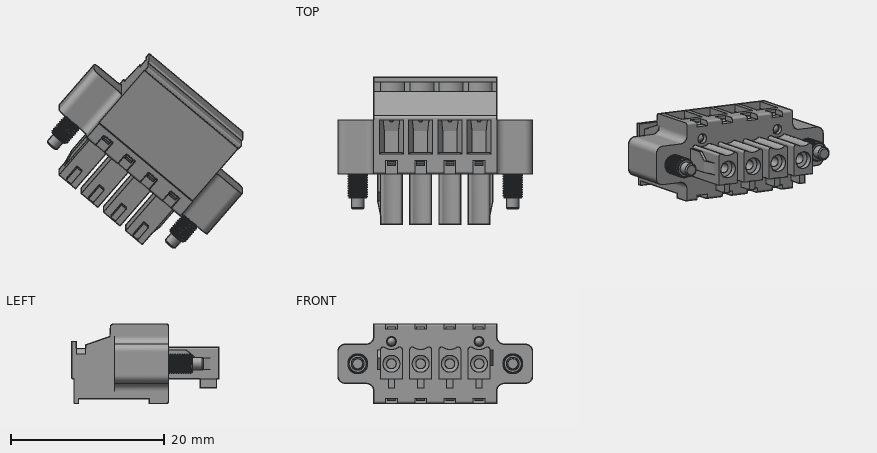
import cadquery as cq
total_width = 25.43
total_height = 10.4
pole_count = 4
pole_pitch = 3.81
axis_z = total_height / 2
pole_x = [(i - (pole_count - 1) / 2) * pole_pitch for i in range(pole_count)]

body_width = 16.07
back_y = 12.65
foot_back_y = 12.35
foot_front_y = 11.75
front_foot_depth = 2.55
foot_height = 0.6
lip_bottom_z = 3.23
lip_top_z = 8.15
groove_back_y = 12.03
groove_front_y = 10.8
groove_floor_z = 6.45
slope_low_z = 7.68
slope_high_z = 8.77
step_top_y = 7.58
step_base_y = 7.65
edge_round = 0.3
rear_edge_round = 0.38
small_round = 0.18

ear_depth = 7.07
ear_height = 5.14
ear_round = 1.0

rear_cylinder_radius = 2.0
rear_cylinder_offset = 0.15

pocket_width = 3.13
pocket_mid_width = 2.15
pocket_floor_width = 1.83
pocket_back_y = 7.05
pocket_front_y = 2.62
pocket_lip_y = 2.75
pocket_lip_depth = 0.5
pocket_floor_front_y = 2.82
pocket_straight_depth = 0.95
pocket_mid_depth = 1.65
pocket_depth = 2.0
ramp_front_y = 5.6
nub_radius = 0.25

notch_width = 1.53
notch_depth = 0.64
notch_back_y = 1.75
catch_width = 1.05
catch_height = 0.25
catch_front_y = 1.12
catch_crest_y = 1.42
catch_back_y = 1.65

test_hole_z = 8.1
test_hole_radius = 0.64
test_hole_depth = 0.7
ball_radius = 0.55

sleeve_width = 2.85
sleeve_length = 6.55
sleeve_bottom_z = 3.23
sleeve_top_z = 7.37
sleeve_shoulder_z = 7.07
valley_half_width = 0.85
valley_edge_z = 7.3
crest_offset = 1.15
bore_diameter = 2.2
bore_radius = bore_diameter / 2
bore_depth = 0.92
bore_cone_depth = 0.15
inner_bore_radius = 0.64
inner_bore_depth = 3.05

key_width = 0.81
key_bottom_z = 2.05
key_front_y = -6.28
key_back_y = -4.12

rib_thickness = 0.38
rib_top_z = 7.0
rib_taper_y = -3.5
rib_end_y = -5.42
left_rib_slope_y = -2.31
left_rib_low_z = 5.98
left_rib_bottom_z = 4.42
right_rib_bottom_z = 4.98

screw_x = 10.12
thread_radius = 1.3
thread_core_radius = 1.12
tooth_share = 0.9
thread_overlap = 0.03
thread_length = 3.13
thread_turns = 10
thread_pitch = thread_length / thread_turns
thread_end_chamfer = 0.2
tip_radius = 0.85
tip_end_y = -4.55
tip_chamfer = 0.18


def box(x0, x1, y0, y1, z0, z1):
    """Axis-aligned box between opposite corners."""
    return cq.Workplane("XY").box(x1 - x0, y1 - y0, z1 - z0, centered=False).translate((x0, y0, z0))


def side_prism(points, x0, x1):
    """Extrude a (y, z) outline from x0 to x1."""
    return cq.Workplane("YZ").workplane(offset=x0).polyline(points).close().extrude(x1 - x0)


def rod(x, z, radius, y0, y1):
    """Cylinder along Y between y0 and y1."""
    return cq.Workplane("XZ", origin=(x, y0, z)).circle(radius).extrude(y0 - y1)


def make_housing():
    outline = [
        (0, 0), (0, total_height), (step_top_y, total_height), (step_base_y, slope_high_z),
        (groove_front_y, slope_low_z), (groove_front_y, groove_floor_z),
        (groove_back_y, groove_floor_z), (groove_back_y, lip_top_z), (back_y, lip_top_z),
        (back_y, lip_bottom_z), (foot_back_y, lip_bottom_z), (foot_back_y, 0),
        (foot_front_y, 0), (foot_front_y, foot_height),
        (front_foot_depth, foot_height), (front_foot_depth, 0),
    ]
    housing = side_prism(outline, -body_width / 2, body_width / 2)
    rounded_corners = [
        (0, 0, edge_round), (0, total_height, edge_round), (step_top_y, total_height, rear_edge_round),
        (back_y, lip_bottom_z, small_round), (foot_back_y, 0, small_round),
    ]
    for y, z, radius in rounded_corners:
        corner = cq.NearestToPointSelector((0, y, z))
        housing = housing.edges("|X").edges(corner).fillet(radius)
    return housing


def make_ears():
    z0 = axis_z - ear_height / 2
    z1 = axis_z + ear_height / 2
    ears = box(-total_width / 2, total_width / 2, 0, ear_depth, z0, z1)
    ears = ears.edges("|Y").fillet(ear_round)
    root = body_width / 2
    for side in (-1, 1):
        for z, direction in ((z0, -1), (z1, 1)):
            x_in, x_out = sorted((side * root, side * (root + ear_round)))
            z_low, z_high = sorted((z, z + direction * ear_round))
            blend = box(x_in, x_out, 0, ear_depth, z_low, z_high)
            arc_x = side * (root + ear_round)
            arc_z = z + direction * ear_round
            blend = blend.cut(rod(arc_x, arc_z, ear_round, 0, ear_depth))
            ears = ears.union(blend)
    return ears


def make_pocket():
    """Wire pocket for the pole at x = 0: a stepped funnel with a ramp at its back."""
    top = total_height
    straight_z = top - pocket_straight_depth
    mid_z = top - pocket_mid_depth
    floor_z = top - pocket_depth
    half = [(pocket_width / 2, top), (pocket_width / 2, straight_z),
            (pocket_mid_width / 2, mid_z), (pocket_floor_width / 2, floor_z)]
    mirrored = [(-x, z) for x, z in reversed(half)]
    funnel = (cq.Workplane("XZ", origin=(0, pocket_back_y, 0)).polyline(half + mirrored).close()
              .extrude(pocket_back_y - pocket_front_y))
    lengthwise = [(pocket_front_y, top), (pocket_lip_y, top - pocket_lip_depth),
                  (pocket_floor_front_y, floor_z), (ramp_front_y, floor_z),
                  (pocket_back_y, mid_z), (pocket_back_y, top)]
    pocket = funnel.intersect(side_prism(lengthwise, -pocket_width / 2, pocket_width / 2))
    nub = cq.Workplane("XY").sphere(nub_radius).translate((0, pocket_back_y, mid_z))
    return pocket.cut(nub)


def make_notch():
    """Latch notch in the top front edge, less the ramped catch on its floor."""
    floor_z = total_height - notch_depth
    notch = box(-notch_width / 2, notch_width / 2, 0, notch_back_y, floor_z, total_height)
    catch = [(catch_front_y, floor_z), (catch_crest_y, floor_z + catch_height),
             (catch_back_y, floor_z + catch_height), (catch_back_y, floor_z)]
    return notch.cut(side_prism(catch, -catch_width / 2, catch_width / 2))


def make_sleeve():
    """Contact sleeve for the pole at x = 0, with its key and stepped bore."""
    half = sleeve_width / 2
    sleeve = (
        cq.Workplane("XZ")
        .moveTo(-half, sleeve_bottom_z)
        .lineTo(-half, sleeve_shoulder_z)
        .threePointArc((-crest_offset, sleeve_top_z), (-valley_half_width, valley_edge_z))
        .threePointArc((0, sleeve_shoulder_z), (valley_half_width, valley_edge_z))
        .threePointArc((crest_offset, sleeve_top_z), (half, sleeve_shoulder_z))
        .lineTo(half, sleeve_bottom_z)
        .close()
        .extrude(sleeve_length)
    )
    key = box(-key_width / 2, key_width / 2, key_front_y, key_back_y, key_bottom_z, sleeve_bottom_z)
    bore_outline = [
        (0, 0), (bore_radius, 0), (bore_radius, bore_depth),
        (inner_bore_radius, bore_depth + bore_cone_depth), (inner_bore_radius, inner_bore_depth),
        (0, inner_bore_depth),
    ]
    bore = cq.Workplane("XY").polyline(bore_outline).close().revolve(360, (0, 0, 0), (0, 1, 0))
    return sleeve.union(key).cut(bore.translate((0, -sleeve_length, axis_z)))


def make_ribs():
    """Guide ribs on the outer flanks of the two end sleeves, tapering out toward the tip."""
    flank = pole_x[-1] + sleeve_width / 2
    taper = (cq.Workplane("XY")
             .polyline([(flank, 0), (flank + rib_thickness, 0), (flank + rib_thickness, rib_taper_y),
                        (flank, rib_end_y)])
             .close().extrude(total_height))
    left_outline = [(0, rib_top_z), (left_rib_slope_y, rib_top_z), (rib_taper_y, left_rib_low_z),
                    (rib_end_y, left_rib_low_z), (rib_end_y, left_rib_bottom_z), (0, left_rib_bottom_z)]
    outer = flank + rib_thickness
    left = side_prism(left_outline, -outer, -flank).intersect(taper.mirror("YZ"))
    right = taper.intersect(box(flank, outer, rib_end_y, 0, right_rib_bottom_z, rib_top_z))
    return left.union(right)


def make_screw():
    """Flange screw along Z from 0, with a helical thread and a plain chamfered tip."""
    envelope_radius = thread_radius + thread_overlap
    envelope = (cq.Workplane("XY").circle(envelope_radius).extrude(thread_length)
                .faces(">Z").chamfer(thread_end_chamfer, envelope_radius - tip_radius))
    core = cq.Workplane("XY").circle(thread_core_radius).extrude(thread_length)
    tip = cq.Workplane("XY").circle(tip_radius).extrude(-tip_end_y).faces(">Z").chamfer(tip_chamfer)
    root = thread_core_radius - thread_overlap
    half_tooth = thread_pitch * tooth_share / 2
    helix = cq.Wire.makeHelix(thread_pitch, thread_length + thread_pitch, root)
    tooth = (cq.Workplane("XZ")
             .polyline([(root, -half_tooth), (thread_radius, 0), (root, half_tooth)])
             .close()
             .sweep(cq.Workplane(obj=helix), isFrenet=True))
    tooth = tooth.translate((0, 0, -thread_pitch / 2))
    return core.union(tooth.intersect(envelope)).union(tip)


result = make_housing().union(make_ears())

pocket = make_pocket()
notch = make_notch()
sleeve = make_sleeve()
for x in pole_x:
    rear_x = x + rear_cylinder_offset
    result = result.union(rod(rear_x, axis_z, rear_cylinder_radius, groove_front_y, groove_back_y))
    result = result.cut(pocket.translate((x, 0, 0)))
    result = result.cut(notch.translate((x, 0, 0)))
    result = result.cut(notch.mirror("XY").translate((x, 0, total_height)))
    result = result.union(sleeve.translate((x, 0, 0)))

for x in (pole_x[0], pole_x[-1]):
    result = result.cut(rod(x, test_hole_z, test_hole_radius, 0, test_hole_depth))
    ball = cq.Workplane("XY").sphere(ball_radius).translate((x, test_hole_depth, test_hole_z))
    result = result.union(ball)

result = result.union(make_ribs())
screw = make_screw().rotate((0, 0, 0), (1, 0, 0), 90)
for x in (-screw_x, screw_x):
    result = result.union(screw.translate((x, 0, axis_z)))